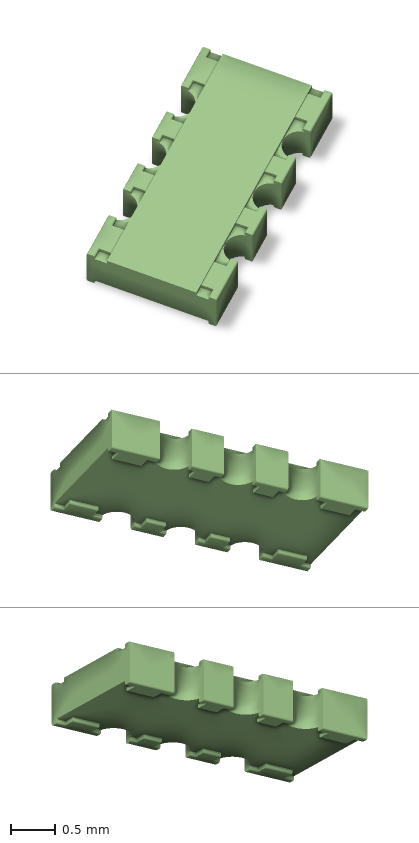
import cadquery as cq

WIDTH = 1.6
LENGTH = 3.2
HEIGHT = 0.5

CORE_HEIGHT = 0.4

TERMINAL_DEPTH = 0.25
CAP_THICKNESS = 0.1
EDGE_RADIUS = 0.02
GAP = 0.4
MIDDLE_LENGTH = 0.4
END_LENGTH = (LENGTH - 3 * GAP - 2 * MIDDLE_LENGTH) / 2
MIDDLE_PAD_INSET = 0.08
END_PAD_INSET = 0.12

PITCH = MIDDLE_LENGTH + GAP
MIDDLE_Y = PITCH / 2
END_Y = (LENGTH - END_LENGTH) / 2

OUTER_X = WIDTH / 2
CAP_INNER_X = OUTER_X - CAP_THICKNESS
COVER_X = OUTER_X - TERMINAL_DEPTH
NOTCH_RADIUS = GAP / 2
NOTCH_X = COVER_X + NOTCH_RADIUS
CORE_X = NOTCH_X


def box(x_min, x_max, length, z_min, z_max):
    """Block centred on Y between the given X and Z limits."""
    return (
        cq.Workplane("XY", origin=((x_min + x_max) / 2, 0, z_min))
        .rect(x_max - x_min, length)
        .extrude(z_max - z_min)
    )


def core():
    """Ceramic block with round notches between the terminals."""
    block = box(-CORE_X, CORE_X, LENGTH, -CORE_HEIGHT / 2, CORE_HEIGHT / 2)
    notch_centres = [(side * NOTCH_X, row * PITCH) for side in (-1, 1) for row in (-1, 0, 1)]
    notches = (
        cq.Workplane("XY", origin=(0, 0, -CORE_HEIGHT / 2))
        .pushPoints(notch_centres)
        .circle(NOTCH_RADIUS)
        .extrude(CORE_HEIGHT)
    )
    return block.cut(notches)


def cover():
    """Flat layer on the core between the two rows of pads."""
    return box(-COVER_X, COVER_X, LENGTH, CORE_HEIGHT / 2, HEIGHT / 2)


def terminal(length, pad_inset):
    """Terminal on the +X side: a rounded cap with a shorter pad above and below the core."""
    cap = box(CAP_INNER_X, OUTER_X, length, -HEIGHT / 2, HEIGHT / 2).edges("|Y").fillet(EDGE_RADIUS)
    cap_middle_x = (CAP_INNER_X + OUTER_X) / 2
    top_pad = (
        box(COVER_X, cap_middle_x, length - 2 * pad_inset, CORE_HEIGHT / 2, HEIGHT / 2)
        .edges("|Y and <X and >Z")
        .fillet(EDGE_RADIUS)
    )
    bottom_pad = top_pad.mirror("XY")
    return cap.union(top_pad).union(bottom_pad)


result = core().union(cover())
for y, length, pad_inset in (
    (MIDDLE_Y, MIDDLE_LENGTH, MIDDLE_PAD_INSET),
    (END_Y, END_LENGTH, END_PAD_INSET),
):
    right_terminal = terminal(length, pad_inset)
    left_terminal = right_terminal.mirror("YZ")
    for side in (-1, 1):
        result = result.union(right_terminal.translate((0, side * y, 0)))
        result = result.union(left_terminal.translate((0, side * y, 0)))